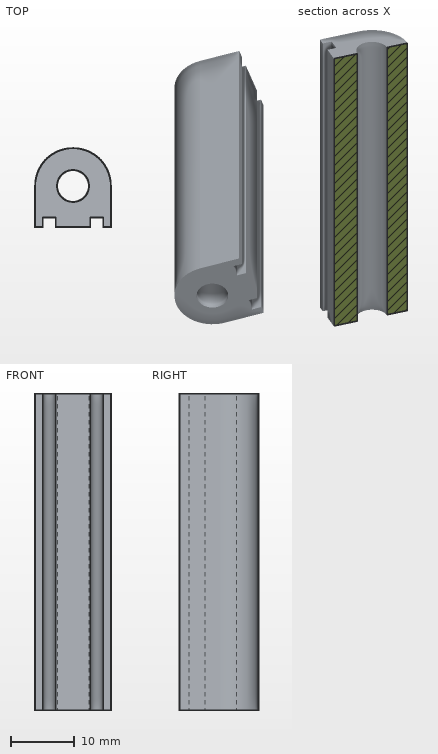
import cadquery as cq

width = 12.0
length = 50.0
round_radius = width / 2
flat_side_height = 6.5

bore_diameter = 5.0
groove_width = 2.0
groove_depth = 1.5
edge_rib_width = 1.25


def make_body():
    """D-shaped bar along Z, rounded towards +Y and centred on the bore axis."""
    return (
        cq.Workplane("XY")
        .moveTo(-round_radius, -flat_side_height)
        .lineTo(round_radius, -flat_side_height)
        .lineTo(round_radius, 0)
        .threePointArc((0, round_radius), (-round_radius, 0))
        .close()
        .extrude(length)
    )


def make_bore():
    """Round hole running the full length of the bar."""
    return cq.Workplane("XY").circle(bore_diameter / 2).extrude(length)


def make_groove(side):
    """Full-length groove in the flat face; side is -1 for -X and +1 for +X."""
    groove_x = side * (width / 2 - edge_rib_width - groove_width / 2)
    return (
        cq.Workplane("XY")
        .center(groove_x, -flat_side_height + groove_depth / 2)
        .rect(groove_width, groove_depth)
        .extrude(length)
    )


result = make_body().cut(make_bore())
for side in (-1, 1):
    result = result.cut(make_groove(side))